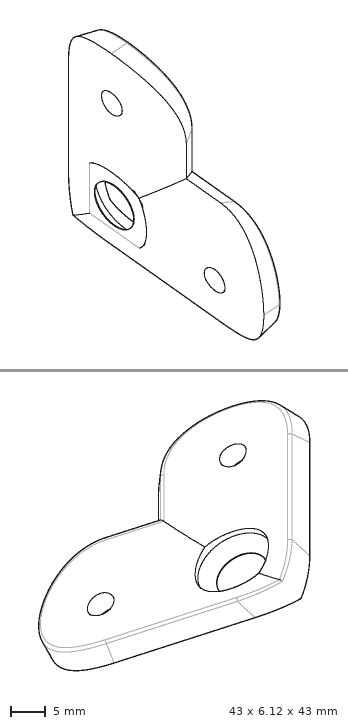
import cadquery as cq
import math


overall_length = 43.0
half_width = 12.0
half_angle = math.radians(30)
outer_radius = half_width / math.sin(half_angle)
thickness = 3.55
inner_radius = outer_radius - thickness
end_center = overall_length - 2 * half_width

corner_radius = 10.0
inner_rim_radius = 0.47

hole_radius = 4.0
spotface_radius = 7.15
spotface_depth = 0.5
counterbore_radius = 6.0
hole_land = 0.15
cone_angle = math.radians(45)
small_hole_radius = 2.1
small_hole_distance = 21.0

quarter_steps = 8
overlap = 8.6


def arm_outline(distance):
    """Outline of one arm, projected from the arch axis onto a plane at this distance from it."""

    def quarter_end(start):
        """Points over a quarter of the round end, which is circular on the outer face."""
        points = []
        for turn in quarter_turns:
            t = start + turn
            angle = math.asin(math.sin(half_angle) * math.cos(t))
            points.append((distance * math.tan(angle), end_center + half_width * math.sin(t)))
        return points

    quarter_turns = [math.pi / 2 * i / quarter_steps for i in range(quarter_steps + 1)]
    side = distance * math.tan(half_angle)
    tail = -half_width - overlap
    return (
        cq.Workplane("XZ", origin=(0, outer_radius - distance, 0))
        .moveTo(-side, tail)
        .lineTo(side, tail)
        .lineTo(side, end_center)
        .spline(quarter_end(0), parameters=quarter_turns)
        .spline(quarter_end(math.pi / 2), parameters=quarter_turns)
        .close()
        .wire()
        .val()
    )


def cylinder(radius, start, depth, x=0, z=0):
    """Cylinder along y, from y = start towards +y."""
    return cq.Workplane("XZ", origin=(x, start, z)).circle(radius).extrude(-depth)


def make_arm():
    """Arm along +z, with walls that point at the arch axis."""
    near = arm_outline(inner_radius / 2)
    far = arm_outline(outer_radius + overlap)
    wedge = cq.Workplane(cq.Solid.makeLoft([near, far], True))
    shell = (
        cq.Workplane("XY", origin=(0, outer_radius, -overall_length))
        .circle(outer_radius)
        .circle(inner_radius)
        .extrude(3 * overall_length)
    )
    reach = 2 * overall_length
    mitre_side = (
        cq.Workplane("XZ", origin=(0, -overlap, 0))
        .polyline([(-reach, -reach), (reach, reach), (-reach, reach)])
        .close()
        .extrude(-reach)
    )
    return wedge.intersect(shell).intersect(mitre_side)


arm = make_arm()
other_arm = arm.mirror("XY").rotate((0, 0, 0), (0, 1, 0), -90)
body = arm.union(other_arm)

wall_middle = (inner_radius + outer_radius) / 2
corner_x = -wall_middle * math.sin(half_angle)
corner_y = outer_radius - wall_middle * math.cos(half_angle)
corner_edge = cq.selectors.NearestToPointSelector((corner_x, corner_y, corner_x))
body = body.edges(corner_edge).fillet(corner_radius)

arm_middle = end_center / 2
inner_faces = body.faces(cq.selectors.NearestToPointSelector((0, thickness, arm_middle))).add(
    body.faces(cq.selectors.NearestToPointSelector((arm_middle, thickness, 0)))
)
rim = inner_faces.edges().filter(lambda edge: abs(edge.Center().x - edge.Center().z) > inner_rim_radius)
body = rim.fillet(inner_rim_radius)

body = body.cut(cylinder(hole_radius, -overlap, 3 * overlap))
body = body.cut(cylinder(spotface_radius, -overlap, overlap + spotface_depth))

cone_start = spotface_depth + hole_land
cone_length = (counterbore_radius - hole_radius) / math.tan(cone_angle)
cone_base = cq.Vector(0, cone_start, 0)
cone = cq.Solid.makeCone(hole_radius, counterbore_radius, cone_length, cone_base, cq.Vector(0, 1, 0))
body = body.cut(cq.Workplane(cone))
body = body.cut(cylinder(counterbore_radius, cone_start + cone_length, 2 * overlap))

for x, z in [(small_hole_distance, 0), (0, small_hole_distance)]:
    body = body.cut(cylinder(small_hole_radius, -overlap, 3 * overlap, x, z))

result = body